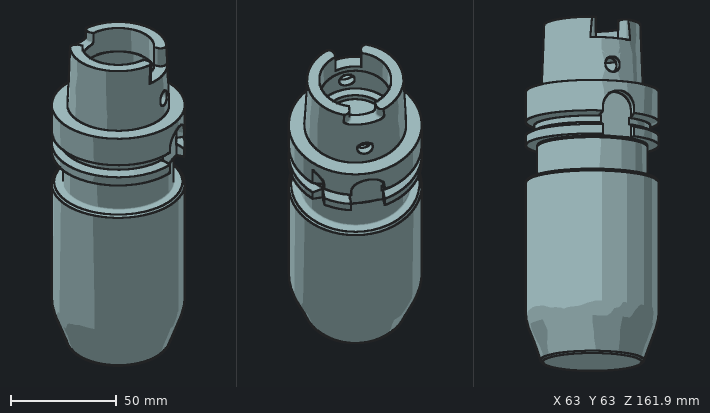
import cadquery as cq
import math

total_height = 161.9
shank_base_z = 129.8
flange_bottom_z = 104.1
body_top_z = 87.5
body_straight_bottom_z = 23.6

body_radius = 63.0 / 2
neck_radius = 26.2
shank_top_radius = 22.8
shank_base_radius = 24.1
body_top_chamfer = 1.1
neck_fillet = 0.8
relief_height = 0.8
relief_radius = neck_radius - 0.3

nose_angle = math.radians(20)
nose_arc_radius = 19.9
nose_chamfer = 1.0

groove_radius = 27.5
groove_top_z = 115.3
groove_bottom_z = 108.6
groove_side_height = 1.8

mouth_radius = 34.0 / 2
undercut_radius = 40.2 / 2
seat_radius = 15.9
mouth_depth = 13.0
undercut_slope_height = 1.8
undercut_bottom_z = 132.8
bore_floor_z = 129.8
cross_hole_diameter = 7.5
cross_hole_z = 139.2

drive_slot_width = 12.6
shallow_slot_depth = 6.0
deep_slot_depth = 9.9
slot_corner_radius = 3.0
slot_floor_fillet = 1.5

flange_slot_radius = 8.1
flange_slot_center_z = 117.2
flange_slot_floor_x = 26.5
notch_wall = 19.8

beyond = 40.5


def turned_body():
    def nose_arc_point(angle):
        return (
            body_radius - nose_arc_radius * (1 - math.cos(angle)),
            body_straight_bottom_z - nose_arc_radius * math.sin(angle),
        )

    arc_end_radius, arc_end_z = nose_arc_point(nose_angle)
    nose_radius = arc_end_radius - (arc_end_z - nose_chamfer) * math.tan(nose_angle)
    fillet_middle = neck_fillet * (1 - math.sqrt(0.5))
    return (
        cq.Workplane("XZ")
        .moveTo(0, 0)
        .lineTo(nose_radius - nose_chamfer, 0)
        .lineTo(nose_radius, nose_chamfer)
        .lineTo(arc_end_radius, arc_end_z)
        .threePointArc(nose_arc_point(nose_angle / 2), (body_radius, body_straight_bottom_z))
        .lineTo(body_radius, body_top_z - body_top_chamfer)
        .lineTo(body_radius - body_top_chamfer, body_top_z)
        .lineTo(neck_radius + neck_fillet, body_top_z)
        .threePointArc(
            (neck_radius + fillet_middle, body_top_z + fillet_middle),
            (neck_radius, body_top_z + neck_fillet),
        )
        .lineTo(neck_radius, flange_bottom_z - relief_height)
        .lineTo(relief_radius, flange_bottom_z)
        .lineTo(body_radius, flange_bottom_z)
        .lineTo(body_radius, groove_bottom_z)
        .lineTo(groove_radius, groove_bottom_z + groove_side_height)
        .lineTo(groove_radius, groove_top_z - groove_side_height)
        .lineTo(body_radius, groove_top_z)
        .lineTo(body_radius, shank_base_z)
        .lineTo(shank_base_radius, shank_base_z)
        .lineTo(shank_top_radius, total_height)
        .lineTo(0, total_height)
        .close()
        .revolve(360, (0, 0, 0), (0, 1, 0))
    )


def shank_bore():
    mouth_bottom_z = total_height - mouth_depth
    return (
        cq.Workplane("XZ")
        .moveTo(0, bore_floor_z)
        .lineTo(seat_radius, bore_floor_z)
        .lineTo(seat_radius, undercut_bottom_z)
        .lineTo(undercut_radius, undercut_bottom_z)
        .lineTo(undercut_radius, mouth_bottom_z - undercut_slope_height)
        .lineTo(mouth_radius, mouth_bottom_z)
        .lineTo(mouth_radius, total_height)
        .lineTo(0, total_height)
        .close()
        .revolve(360, (0, 0, 0), (0, 1, 0))
    )


def cross_hole():
    return (
        cq.Workplane("YZ")
        .center(0, cross_hole_z)
        .circle(cross_hole_diameter / 2)
        .extrude(beyond, both=True)
    )


def drive_slot(side, depth):
    """Slot through one shank wall, with rounds leading out to flat lands at the rim."""
    half = drive_slot_width / 2
    flare_half = half + slot_corner_radius
    flare_end_x = math.sqrt(shank_top_radius**2 - flare_half**2)
    flare_start_x = flare_end_x - slot_corner_radius
    middle_x = flare_start_x + slot_corner_radius * math.sqrt(0.5)
    middle_y = flare_half - slot_corner_radius * math.sqrt(0.5)
    return (
        cq.Workplane("XY")
        .workplane(offset=total_height - depth)
        .moveTo(0, -half)
        .lineTo(side * flare_start_x, -half)
        .threePointArc((side * middle_x, -middle_y), (side * flare_end_x, -flare_half))
        .lineTo(side * flare_end_x, -beyond)
        .lineTo(side * beyond, -beyond)
        .lineTo(side * beyond, beyond)
        .lineTo(side * flare_end_x, beyond)
        .lineTo(side * flare_end_x, flare_half)
        .threePointArc((side * middle_x, middle_y), (side * flare_start_x, half))
        .lineTo(0, half)
        .close()
        .extrude(depth)
    )


def round_ended_cutter(side, center_y, floor_x):
    """Vertical cutter with a round top, open below and out along X."""
    height = flange_slot_center_z - flange_bottom_z
    plane = cq.Workplane("YZ").workplane(offset=side * floor_x)
    length = side * (beyond - floor_x)
    round_end = plane.center(center_y, flange_slot_center_z).circle(flange_slot_radius).extrude(length)
    straight = (
        plane.center(center_y, flange_bottom_z + height / 2)
        .rect(2 * flange_slot_radius, height)
        .extrude(length)
    )
    return round_end.union(straight)


result = turned_body().cut(shank_bore()).cut(cross_hole())

shallow_slot = drive_slot(-1, shallow_slot_depth).faces("<Z").edges().fillet(slot_floor_fillet)
result = result.cut(shallow_slot).cut(drive_slot(1, deep_slot_depth))

for side in (-1, 1):
    result = result.cut(round_ended_cutter(side, 0, flange_slot_floor_x))

notch_center_y = notch_wall + flange_slot_radius
result = result.cut(round_ended_cutter(-1, notch_center_y, notch_wall))